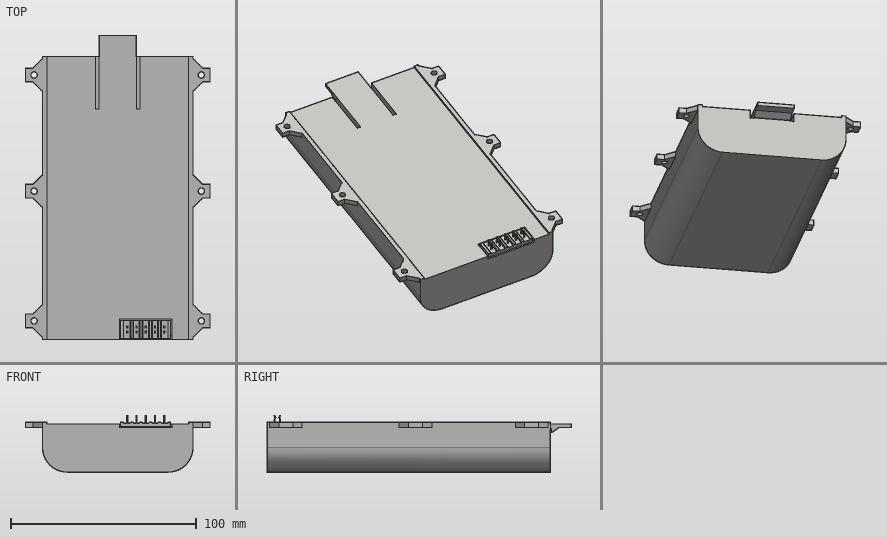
import cadquery as cq


length = 152.4
width = 81.2
deck_z = 26.0
rail_height = 1.0
rail_width = 2.5
rail_z = deck_z + rail_height
corner_radius = 13.5

ear_tip_span = 99.5
ear_thickness = 3.0
ear_width = 7.5
ear_flare = 5.0
ear_root_width = ear_width + 2 * ear_flare
ear_hole_diameter = 3.3
ear_hole_span = 90.0
end_ear_inset = 10.0
middle_ear_y = 79.9
ear_positions = (end_ear_inset, middle_ear_y, length - end_ear_inset)

latch_tip_y = 163.7
latch_width = 20.0
latch_thickness = 2.0
latch_slot_width = 2.0
latch_slot_length = 28.3
hook_depth = 4.6
hook_reach = 4.7
hook_flat_reach = 1.0
hook_gap = 0.5
hook_gap_height = 2.0
hook_z = deck_z - hook_depth

pocket_x = 15.0
connector_x = 14.9
connector_width = 26.8
connector_front_y = 0.5
connector_back_y = 10.2
connector_top_z = rail_z
pocket_width = 28.5
pocket_length = 11.1
pocket_depth = 2.0
pocket_z = deck_z - pocket_depth
foot_height = 0.5
foot_front_y = 1.8
block_z = pocket_z + foot_height

contact_count = 5
contact_pitch = 5.0
channel_floor_width = 3.0
channel_depth = 0.5
divider_slope = 0.5
end_channel_widening = 0.5
channel_z = connector_top_z - channel_depth
contact_top_z = 30.5
contact_y = 5.4
blade_width = 0.74
blade_thickness = 0.5
blade_offset = 1.8
blade_bend = 0.57
bend_start_z = 28.3
bend_peak_z = 29.5


def block(x_center, x_size, y_start, y_end, z_start, z_end):
    """Rectangular block centred on x_center and given by its limits in Y and Z."""
    return (
        cq.Workplane("XY")
        .box(x_size, y_end - y_start, z_end - z_start, centered=(True, False, False))
        .translate((x_center, y_start, z_start))
    )


def make_shell():
    """Long block with two rounded lower edges and a raised rail along each upper edge."""
    shell = block(0, width, 0, length, 0, rail_z).edges("|Y and <Z").fillet(corner_radius)
    return shell.cut(block(0, width - 2 * rail_width, 0, length, deck_z, rail_z))


def make_ear(side, y):
    """Mounting ear on the +X (side = 1) or -X (side = -1) wall, flared at its root."""
    root_x = width / 2
    rail_inner_x = root_x - rail_width
    neck_x = root_x + ear_flare
    tip_x = ear_tip_span / 2
    outline = [
        (rail_inner_x, -ear_root_width / 2),
        (root_x, -ear_root_width / 2),
        (neck_x, -ear_width / 2),
        (tip_x, -ear_width / 2),
        (tip_x, ear_width / 2),
        (neck_x, ear_width / 2),
        (root_x, ear_root_width / 2),
        (rail_inner_x, ear_root_width / 2),
    ]
    plate = (
        cq.Workplane("XY", origin=(0, y, rail_z - ear_thickness))
        .polyline([(side * x, offset) for x, offset in outline])
        .close()
        .extrude(ear_thickness)
    )
    hole = (
        cq.Workplane("XY", origin=(side * ear_hole_span / 2, y, rail_z - ear_thickness))
        .circle(ear_hole_diameter / 2)
        .extrude(ear_thickness)
    )
    return plate.cut(hole)


def make_latch():
    """Latch tongue behind the rear wall, with a hook below that stands clear of the wall."""
    tongue_z = deck_z - latch_thickness
    return (
        cq.Workplane("YZ", origin=(-latch_width / 2, 0, 0))
        .moveTo(length, deck_z)
        .lineTo(latch_tip_y, deck_z)
        .lineTo(latch_tip_y, tongue_z)
        .lineTo(length + hook_reach, tongue_z)
        .lineTo(length + hook_flat_reach, hook_z)
        .lineTo(length + hook_gap, hook_z)
        .lineTo(length + hook_gap, hook_z + hook_gap_height)
        .lineTo(length, hook_z + hook_gap_height)
        .close()
        .extrude(latch_width)
    )


def make_latch_slot(side):
    """Slot in the deck beside the latch, open at the rear wall."""
    slot_x = side * (latch_width + latch_slot_width) / 2
    return block(slot_x, latch_slot_width, length - latch_slot_length, length, hook_z, deck_z)


def make_housing():
    housing = make_shell().union(make_latch())
    for side in (-1, 1):
        housing = housing.cut(make_latch_slot(side))
        for y in ear_positions:
            housing = housing.union(make_ear(side, y))
    return housing.cut(block(pocket_x, pocket_width, 0, pocket_length, pocket_z, deck_z))


def make_connector_block():
    """Connector block on a foot that fills the rear of the pocket floor."""
    foot = block(pocket_x, pocket_width, foot_front_y, pocket_length, pocket_z, block_z)
    body = block(
        connector_x, connector_width, connector_front_y, connector_back_y, block_z, connector_top_z
    )
    return body.union(foot)


def make_channel(index):
    """Channel along Y for one contact; its sides slope, except for upright sides at the end walls."""
    left_x = contact_x(index) - channel_floor_width / 2
    right_x = contact_x(index) + channel_floor_width / 2
    left_top_x = left_x - divider_slope
    right_top_x = right_x + divider_slope
    if index == 0:
        left_x -= end_channel_widening
        left_top_x = left_x
    if index == contact_count - 1:
        right_x += end_channel_widening
        right_top_x = right_x
    return (
        cq.Workplane("XZ", origin=(0, connector_front_y, 0))
        .moveTo(left_x, channel_z)
        .lineTo(right_x, channel_z)
        .lineTo(right_top_x, connector_top_z)
        .lineTo(left_top_x, connector_top_z)
        .close()
        .extrude(connector_front_y - connector_back_y)
    )


def make_blade(x, side):
    """Contact blade, bent towards its partner and flared out again at the tip."""
    outer_face = [
        (blade_offset, channel_z),
        (blade_offset, bend_start_z),
        (blade_offset - blade_bend, bend_peak_z),
        (blade_offset, contact_top_z),
    ]
    outer = [(contact_y + side * offset, z) for offset, z in outer_face]
    inner = [(contact_y + side * (offset - blade_thickness), z) for offset, z in reversed(outer_face)]
    return (
        cq.Workplane("YZ", origin=(x - blade_width / 2, 0, 0))
        .polyline(outer + inner)
        .close()
        .extrude(blade_width)
    )


def contact_x(index):
    """X position of a contact, counted from the -X end of the connector."""
    return pocket_x + (index - (contact_count - 1) / 2) * contact_pitch


def make_connector():
    connector = make_connector_block()
    for index in range(contact_count):
        connector = connector.cut(make_channel(index))
        for side in (-1, 1):
            connector = connector.union(make_blade(contact_x(index), side))
    return connector


housing = make_housing()
connector = make_connector()

result = cq.Compound.makeCompound([housing.val(), connector.val()])